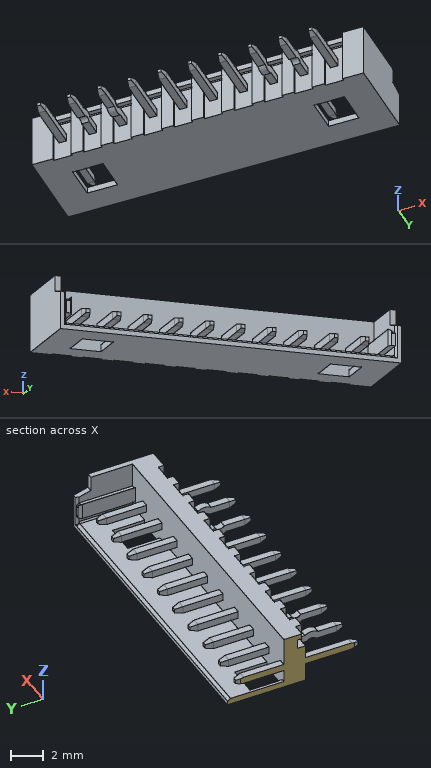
import cadquery as cq


housing_length = 22.0
housing_depth = 5.5
housing_height = 3.65
half_length = housing_length / 2
end_wall = 0.4
inner_x = half_length - end_wall
rear_wall = 1.65
floor_thickness = 0.45
floor_bevel = 0.1
mouth_bevel_depth = 0.2
mouth_bevel_width = 0.15

step_length = 1.0
step_low_z = 2.37
step_high_z = 2.64

rail_reach = 0.4
rail_flat = 0.22
rail_bottom_z = 1.05
rail_flat_z = 1.98
rail_peak_z = 2.12

pin_count = 10
pitch = 2.0
pin_size = 0.5
pin_tip_size = 0.25
pin_tip_length = 0.5
pin_z = 1.5
pin_inner_y = 4.9
pin_outer_y = -3.5
pin_xs = [(i - (pin_count - 1) / 2) * pitch for i in range(pin_count)]

kinks = {1: 1, 2: -1, pin_count - 3: -1, pin_count - 2: 1}
kink_y = -1.28
kink_height = 0.15
crest_length = 0.9
dent_length = 0.6

slot_width = 1.2
slot_depth = 0.4
slot_shelf_depth = 0.15
pocket_depth = 0.7
lintel_height = 0.4
pocket_height = 0.6
pocket_top_z = housing_height - lintel_height
pocket_bottom_z = pocket_top_z - pocket_height

window_front_y = 3.85


def block(x0, x1, y0, y1, z0, z1):
    """Box between two opposite corners."""
    return cq.Workplane("XY").box(x1 - x0, y1 - y0, z1 - z0, centered=False).translate((x0, y0, z0))


def both_ends(shape):
    """Shape together with its mirror image at the other end of the row."""
    return shape.union(shape.mirror("YZ"))


def make_shell():
    """Side outline swept along the row, hollowed from the top and the mouth."""
    outline = [
        (0, 0),
        (housing_depth, 0),
        (housing_depth, step_low_z),
        (housing_depth - step_length, step_high_z),
        (housing_depth - step_length, housing_height),
        (0, housing_height),
    ]
    body = cq.Workplane("YZ").polyline(outline).close().extrude(half_length, both=True)

    cavity_outline = [
        (-inner_x, housing_height),
        (-inner_x, floor_thickness + floor_bevel),
        (-inner_x + floor_bevel, floor_thickness),
        (inner_x - floor_bevel, floor_thickness),
        (inner_x, floor_thickness + floor_bevel),
        (inner_x, housing_height),
    ]
    cavity = (
        cq.Workplane("XZ", origin=(0, rear_wall, 0))
        .polyline(cavity_outline)
        .close()
        .extrude(rear_wall - housing_depth)
    )
    return body.cut(cavity)


def make_rail():
    """Guide rail at the +X end, with a raised inner lip and a bevelled mouth end."""
    lip_x = inner_x - rail_reach
    profile = [
        (inner_x, rail_bottom_z),
        (lip_x, rail_bottom_z),
        (lip_x, rail_peak_z),
        (inner_x - rail_flat, rail_flat_z),
        (inner_x, rail_flat_z),
    ]
    rail = (
        cq.Workplane("XZ", origin=(0, rear_wall, 0))
        .polyline(profile)
        .close()
        .extrude(rear_wall - housing_depth)
    )
    rail = rail.cut(ledge_mouth_bevel(inner_x - rail_flat, inner_x, rail_flat_z, mouth_bevel_width))
    return rail.cut(wall_mouth_bevel(lip_x))


def wall_mouth_bevel(face_x):
    """Wedge that bevels the mouth end of an inward-facing wall at face_x, from the floor up."""
    bottom_z = floor_thickness - mouth_bevel_width
    return (
        cq.Workplane("XY", origin=(0, 0, bottom_z))
        .moveTo(face_x, housing_depth - mouth_bevel_depth)
        .lineTo(face_x + mouth_bevel_width, housing_depth)
        .lineTo(face_x, housing_depth)
        .close()
        .extrude(housing_height - bottom_z)
    )


def ledge_mouth_bevel(x0, x1, ledge_z, cut_height):
    """Wedge between x0 and x1 that bevels the mouth edge of an upward face at ledge_z."""
    bevel_start_y = housing_depth - mouth_bevel_depth
    return (
        cq.Workplane("YZ", origin=(x0, 0, 0))
        .moveTo(bevel_start_y, ledge_z)
        .lineTo(housing_depth, ledge_z - mouth_bevel_width)
        .lineTo(housing_depth, ledge_z + cut_height)
        .lineTo(bevel_start_y, ledge_z + cut_height)
        .close()
        .extrude(x1 - x0)
    )


def make_slot(x):
    """Stepped slot in the rear face, with a deeper pocket below its top edge."""
    left = x - slot_width / 2
    right = x + slot_width / 2
    lower = block(left, right, 0, slot_shelf_depth, 0, pocket_bottom_z)
    pocket = block(left, right, 0, pocket_depth, pocket_bottom_z, pocket_top_z)
    upper = block(left, right, 0, slot_depth, pocket_top_z, housing_height)
    return lower.union(pocket).union(upper)


def pin_tip(y_start, direction):
    """Tapered square end starting at y_start and pointing along direction (+1 or -1) in Y."""
    return (
        cq.Workplane("XZ", origin=(0, y_start, pin_z))
        .rect(pin_size, pin_size)
        .workplane(offset=-direction * pin_tip_length)
        .rect(pin_tip_size, pin_tip_size)
        .loft(combine=True)
    )


def arc_segment(length, base_z, side):
    """Bar of circular-segment section across the pin, rising from base_z towards side."""
    return (
        cq.Workplane("YZ")
        .moveTo(kink_y - length / 2, base_z)
        .threePointArc((kink_y, base_z + side * kink_height), (kink_y + length / 2, base_z))
        .close()
        .extrude(pin_size / 2, both=True)
    )


def make_pin(side):
    """Pin centred on X = 0; side is +1 or -1 for a kink up or down, 0 for a straight pin."""
    shank_start = pin_outer_y + pin_tip_length
    shank_end = pin_inner_y - pin_tip_length
    half = pin_size / 2
    pin = block(-half, half, shank_start, shank_end, pin_z - half, pin_z + half)
    pin = pin.union(pin_tip(shank_end, 1)).union(pin_tip(shank_start, -1))
    if side:
        pin = pin.union(arc_segment(crest_length, pin_z + side * half, side))
        pin = pin.cut(arc_segment(dent_length, pin_z - side * half, side))
    return pin


def make_housing():
    """Shell with mouth bevels, guide rails, floor windows and rear slots."""
    housing = make_shell()
    housing = housing.cut(both_ends(wall_mouth_bevel(inner_x)))
    housing = housing.cut(ledge_mouth_bevel(-inner_x, inner_x, floor_thickness, floor_bevel))
    housing = housing.union(both_ends(make_rail()))
    window = block(pin_xs[-2], pin_xs[-1], rear_wall, window_front_y, 0, floor_thickness)
    housing = housing.cut(both_ends(window))
    for x in pin_xs:
        housing = housing.cut(make_slot(x))
    return housing


result = make_housing()
for index, x in enumerate(pin_xs):
    result = result.union(make_pin(kinks.get(index, 0)).translate((x, 0, 0)))